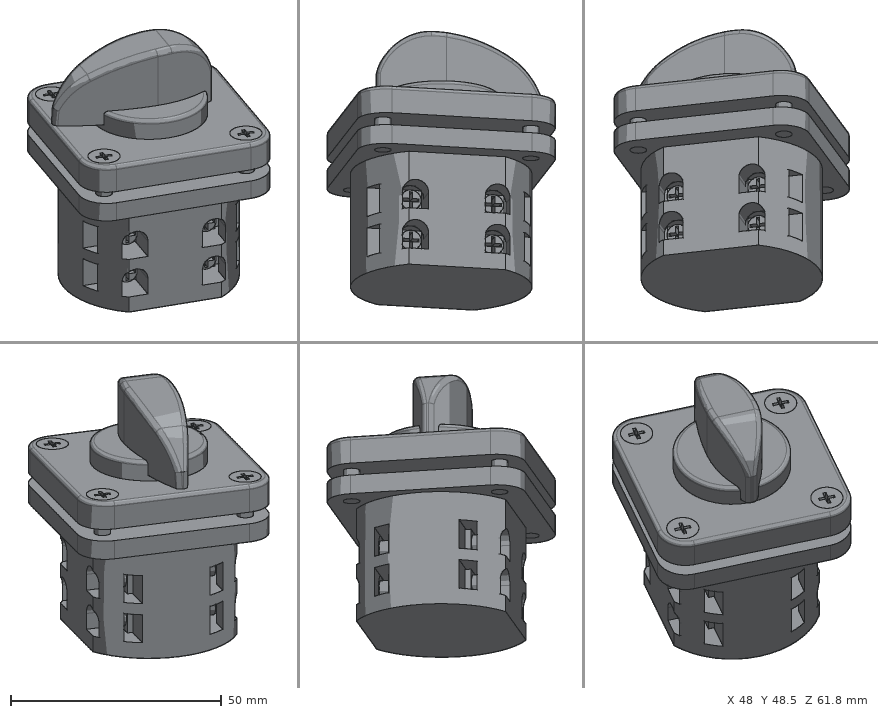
import cadquery as cq
import math

plate_side = 48.0
overall_depth = 48.5
plate_corner_radius = 7.0
edge_fillet = 1.0

base_bottom = 27.9
base_top = 32.55
panel_bottom = 35.5
panel_top = 42.3
grip_bottom = 43.7
disc_top = 47.3
grip_top = 61.75

housing_radius = 21.6
flat_offset = 18.15

collar_bottom_radius = 4.0
collar_top_radius = 3.2

disc_radius = 14.0
grip_half_width = 6.25
grip_front_y = plate_side / 2 - overall_depth
grip_rear_y = 15.75
grip_front_half_width = 1.1
grip_rear_half_width = 1.0
grip_fillet = 1.5
rear_shoulder_z = 51.85
crown_y = 3.45
slope_end = (-16.55, 56.7)
nose_tip = (-24.25, 48.0)

screw_spacing = 36.0
shank_radius = 2.0
head_radius = 3.8
head_height = head_radius - shank_radius

panel_recess_length = 3.8
terminal_recess_length = 4.0
recess_width = 0.75
recess_depth = 1.5

tier_floors = [4.0, 13.95]
terminal_y = 10.0
pocket_width = 6.2
pocket_height = 7.1
pocket_inner_x = 8.5
clamp_face_x = 10.0
clamp_lift = 0.25
clamp_height = 6.4
terminal_screw_radius = 2.5
terminal_screw_end_x = 12.5
terminal_screw_lift = 3.6


def rounded_plate(bottom, top):
    """Square plate with rounded vertical corners."""
    return (
        cq.Workplane("XY")
        .workplane(offset=bottom)
        .rect(plate_side, plate_side)
        .extrude(top - bottom)
        .edges("|Z")
        .fillet(plate_corner_radius)
    )


def recess_arm(length):
    """V-shaped groove along X with hipped ends, opening upward at z = 0."""
    half_length = length / 2
    half_width = recess_width / 2
    wedge = cq.Solid.makeWedge(
        length, recess_depth, recess_width,
        half_width, half_width,
        length - half_width, half_width,
    )
    groove = cq.Workplane(obj=wedge).translate((-half_length, 0, -half_width))
    return groove.rotate((0, 0, 0), (1, 0, 0), -90)


def cross_recess(length):
    """Cross-shaped driver recess, opening upward at z = 0."""
    arm = recess_arm(length)
    return arm.union(arm.rotate((0, 0, 0), (0, 0, 1), 90))


def screw_positions():
    half = screw_spacing / 2
    return [(x, y) for x in (-half, half) for y in (-half, half)]


def screw_blank(x, y):
    """Countersunk screw without its recess: flush in the panel, through to the underside of the base."""
    blank = (
        cq.Workplane("XZ")
        .moveTo(0, base_bottom)
        .lineTo(shank_radius, base_bottom)
        .lineTo(shank_radius, panel_top - head_height)
        .lineTo(head_radius, panel_top)
        .lineTo(0, panel_top)
        .close()
        .revolve(360, (0, 0, 0), (0, 1, 0))
    )
    return blank.translate((x, y, 0))


def panel_screw(x, y):
    return screw_blank(x, y).cut(cross_recess(panel_recess_length).translate((x, y, panel_top)))


def housing_block():
    """Cylinder cut flat on both X sides."""
    cylinder = cq.Workplane("XY").circle(housing_radius).extrude(base_bottom)
    flats = cq.Workplane("XY").rect(2 * flat_offset, 2 * housing_radius).extrude(base_bottom)
    return cylinder.intersect(flats)


def terminal_cavity(floor):
    """Arched screw pocket entered from +X, crossed by a square wire slot entered from +Y."""
    half_width = pocket_width / 2
    inner_y = terminal_y - half_width
    spring = floor + pocket_height - half_width
    pocket = (
        cq.Workplane("YZ")
        .workplane(offset=pocket_inner_x)
        .moveTo(inner_y, floor)
        .lineTo(terminal_y + half_width, floor)
        .lineTo(terminal_y + half_width, spring)
        .threePointArc((terminal_y, floor + pocket_height), (inner_y, spring))
        .close()
        .extrude(housing_radius - pocket_inner_x)
    )
    wire_slot = cq.Workplane("XY").box(
        terminal_screw_end_x - pocket_inner_x,
        housing_radius - inner_y,
        pocket_height,
        centered=False,
    ).translate((pocket_inner_x, inner_y, floor))
    return pocket.union(wire_slot)


def terminal_clamp(floor):
    """Clamp plate on the pocket's inner wall, with its screw head facing +X."""
    plate = cq.Workplane("XY").box(
        clamp_face_x - pocket_inner_x, pocket_width, clamp_height, centered=False
    ).translate((pocket_inner_x, terminal_y - pocket_width / 2, floor + clamp_lift))
    axis_height = floor + terminal_screw_lift
    head = (
        cq.Workplane("YZ")
        .workplane(offset=clamp_face_x)
        .center(terminal_y, axis_height)
        .circle(terminal_screw_radius)
        .extrude(terminal_screw_end_x - clamp_face_x)
    )
    recess = (
        cross_recess(terminal_recess_length)
        .rotate((0, 0, 0), (0, 1, 0), 90)
        .translate((terminal_screw_end_x, terminal_y, axis_height))
    )
    return plate.union(head.cut(recess))


def corner_copies(shape):
    """The shape and its mirror images in the other three corners."""
    across_x = shape.mirror("YZ")
    return [shape, across_x, shape.mirror("XZ"), across_x.mirror("XZ")]


def contact_housing():
    housing = housing_block()
    for floor in tier_floors:
        for cavity in corner_copies(terminal_cavity(floor)):
            housing = housing.cut(cavity)
        for clamp in corner_copies(terminal_clamp(floor)):
            housing = housing.union(clamp)
    return housing


def collar():
    return (
        cq.Workplane("XY")
        .workplane(offset=base_top)
        .circle(collar_bottom_radius)
        .workplane(offset=panel_bottom - base_top)
        .circle(collar_top_radius)
        .loft()
    )


def front_panel():
    return rounded_plate(panel_bottom, panel_top).faces(">Z").edges().fillet(edge_fillet)


def bulge_point(end_half_width, end_y):
    """Middle point of the plan arc that leaves the widest section parallel to Y."""
    narrowing = grip_half_width - end_half_width
    radius = (end_y**2 + narrowing**2) / (2 * narrowing)
    half_angle = math.asin(abs(end_y) / radius) / 2
    x = grip_half_width - radius * (1 - math.cos(half_angle))
    y = math.copysign(radius * math.sin(half_angle), end_y)
    return x, y


def grip_plan():
    """Boat-shaped plan of the grip, extruded over its full height."""
    front_x, front_y = bulge_point(grip_front_half_width, grip_front_y)
    rear_x, rear_y = bulge_point(grip_rear_half_width, grip_rear_y)
    return (
        cq.Workplane("XY")
        .workplane(offset=grip_bottom)
        .moveTo(grip_front_half_width, grip_front_y)
        .threePointArc((front_x, front_y), (grip_half_width, 0))
        .threePointArc((rear_x, rear_y), (grip_rear_half_width, grip_rear_y))
        .lineTo(-grip_rear_half_width, grip_rear_y)
        .threePointArc((-rear_x, rear_y), (-grip_half_width, 0))
        .threePointArc((-front_x, front_y), (-grip_front_half_width, grip_front_y))
        .close()
        .extrude(grip_top - grip_bottom)
    )


def grip_profile():
    """Side profile of the grip: rounded crown, long slope and nose, all tangent arcs, and an upright rear."""
    crown = (crown_y, grip_top)
    rise = grip_top - rear_shoulder_z
    reach = grip_rear_y - crown_y
    crown_radius = (reach**2 + rise**2) / (2 * rise)
    half_angle = math.asin(reach / crown_radius) / 2
    crown_middle = (
        crown_y + crown_radius * math.sin(half_angle),
        grip_top - crown_radius * (1 - math.cos(half_angle)),
    )
    return (
        cq.Workplane("YZ")
        .moveTo(grip_rear_y, grip_bottom)
        .lineTo(grip_rear_y, rear_shoulder_z)
        .threePointArc(crown_middle, crown)
        .tangentArcPoint(slope_end, relative=False)
        .tangentArcPoint(nose_tip, relative=False)
        .lineTo(grip_front_y, grip_bottom)
        .close()
        .extrude(grip_half_width, both=True)
    )


def knob():
    """Round disc carrying the grip."""
    disc = (
        cq.Workplane("XY")
        .workplane(offset=panel_top)
        .circle(disc_radius)
        .extrude(disc_top - panel_top)
        .faces(">Z")
        .edges()
        .fillet(edge_fillet)
    )
    grip = grip_plan().intersect(grip_profile())
    grip = grip.edges("not(|X or <Z or >X or <X)").fillet(grip_fillet)
    return disc.union(grip)


def switch_body():
    body = (
        contact_housing()
        .union(rounded_plate(base_bottom, base_top))
        .union(collar())
        .union(front_panel())
        .union(knob())
    )
    for x, y in screw_positions():
        body = body.cut(screw_blank(x, y))
    return body


body = switch_body()
screws = [panel_screw(x, y) for x, y in screw_positions()]

result = cq.Compound.makeCompound([body.val(), *[screw.val() for screw in screws]])